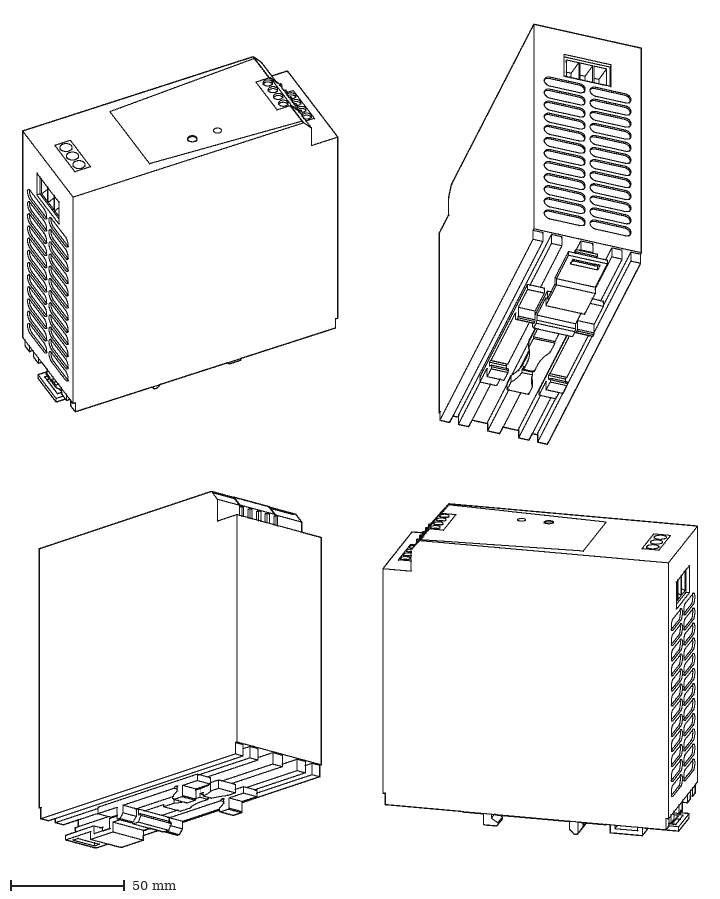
import cadquery as cq

WIDTH = 50.0
DEPTH = 130.0
TOP = 134.5
SHELL_BOTTOM = 14.9
RUNNER_BOTTOM = 9.7
SIDE = WIDTH / 2

STEP_Z = 119.8
STEP_Y = 117.1
CHAMFER_Y = 113.2
CHAMFER_Z = 129.9

RUNNER_INSET = 1.1
SIDE_RUNNER_WIDTH = 4.6
RAIL_RUNNER_X = 14.0
RAIL_RUNNER_WIDTH = 4.8
CENTRE_RUNNER_WIDTH = 5.6

RAIL_X = 13.7
RAIL_WIDTH = 7.8
RAIL_FRONT_Y = 30.4
FOOT_REAR_Y = 95.8
FOOT_BOTTOM = 6.7
POST_FRONT_Y = 43.0
POST_REAR_Y = 47.1
POST_BOTTOM = 1.1
POST_FRONT_BEVEL = 0.5
POST_REAR_BEVEL = 2.2
HOOK_NOSE_Y = 79.6
HOOK_THROAT_Y = 82.6
HOOK_THROAT_Z = 5.1
HOOK_NOSE_Z = 3.2
HOOK_REAR_Y = 86.2
HOOK_BOTTOM = 1.6
HOOK_NOSE_BEVEL = 0.7
HOOK_HEEL_BEVEL = 0.4
RELIEF_FRONT_Y = 80.5
RELIEF_REAR_Y = 82.9
RELIEF_TOP = 7.4
RELIEF_RAMP = 0.8
BAR_WIDTH = 10.0
BAR_FRONT_Y = 1.5
BAR_CHAMFER_Y = 2.5
BAR_CHAMFER_Z = 8.3
PAD_BOTTOM = 5.8
STOP_FRONT_Y = 19.4
STOP_REAR_Y = 25.7
STOP_BOTTOM = 3.9
PAD_FRONT_Y = 59.6
WAIST_Y = 78.4
NECK_WIDTH = 4.8
NECK_HALF_LENGTH = 2.7
WAIST_HALF_LENGTH = 12.1

VENT_ROWS = 12
VENT_TOP_Z = 103.0
VENT_BOTTOM_Z = 25.4
VENT_PITCH = (VENT_TOP_Z - VENT_BOTTOM_Z) / (VENT_ROWS - 1)
VENT_X = 10.6
VENT_LENGTH = 19.0
VENT_HEIGHT = 5.2
VENT_DEPTH = 1.0

LABEL_THICKNESS = 0.5
LABEL_FRONT_Y = 40.2
LABEL_FRONT_HALF = 19.6
LABEL_REAR_HALF = 23.7

CONTROL_X = 12.9
LAMP_Y = 77.0
LAMP_DIAMETER = 3.5
LAMP_DEPTH = 2.7
TRIMMER_Y = 64.5
TRIMMER_DIAMETER = 4.2
TRIMMER_DEPTH = 4.0
TRIMMER_SLOT_WIDTH = 0.3
TRIMMER_SLOT_DEPTH = 0.5
TRIMMER_SLOT_ANGLE = -35.0

INPUT_POLES = 3
INPUT_PITCH = 6.5
INPUT_TOP_WIDTH = 19.9
INPUT_TOP_FRONT_Y = 8.3
INPUT_REAR_Y = 16.0
INPUT_FACE_WIDTH = 21.9
INPUT_FACE_Y = 1.6
INPUT_FACE_BOTTOM = 108.1
INPUT_FACE_TOP = 120.8
INPUT_SCREW_Y = 12.1
INPUT_SCREW_DIAMETER = 5.4
INPUT_SCREW_DEPTH = 6.7
FUNNEL_WIDTH = 5.8
FUNNEL_BOTTOM = 109.5
FUNNEL_TOP = 119.3
FUNNEL_DEPTH = 6.7
FUNNEL_END_WIDTH = 3.2
FUNNEL_END_BOTTOM = 114.3
FUNNEL_END_TOP = 118.4

OUTPUT_POLES = 4
OUTPUT_PITCH = 5.1
OUTPUT_WIDTH = 21.0
OUTPUT_OFFSET = 1.5
OUTPUT_SCREW_DIAMETER = 4.2
OUTPUT_SCREW_DEPTH = 1.2
OUTPUT_BOTTOM = 113.0
UPPER_FRONT_Y = 106.7
UPPER_RIDGE_Y = 113.7
UPPER_FACE_Y = 117.5
UPPER_LIP_Y = 118.9
UPPER_LIP_TOP = 129.0
UPPER_SCREW_Y = 111.1
WIRE_NOTCH_WIDTH = 3.8
WIRE_NOTCH_BOTTOM = 121.0
TONGUE_REAR_Y = 120.4
LOWER_FRONT_Y = 119.3
LOWER_REAR_Y = 126.4
LOWER_SCREW_Y = 124.0

LATCH_WIDTH = 18.0
LATCH_FRONT_Y = -0.4
LATCH_SHEET = 2.2
LATCH_CUP_FRONT_Y = 16.1
LATCH_CUP_REAR_Y = 30.8
LATCH_NECK_Y = POST_FRONT_Y
LATCH_NECK_BEVEL = 1.0
LATCH_NOSE_Y = 47.5
LATCH_NOSE_BOTTOM = 0.7
LATCH_LIP_ROOT_Z = 4.0
LATCH_LIP_TOP_Y = 48.7
LATCH_LIP_TOP_Z = 4.3
LATCH_TIP_Y = 49.2
LATCH_TIP_Z = 3.4
LATCH_SLOT_WIDTH = 12.6
LATCH_SLOT_FRONT_Y = 1.6
LATCH_SLOT_LENGTH = 3.2


def box(x0, x1, y0, y1, z0, z1):
    return cq.Workplane("XY").box(x1 - x0, y1 - y0, z1 - z0, centered=False).translate((x0, y0, z0))


def side_profile(points, width, x_center=0.0):
    """Extrude a (Y, Z) outline along X, centred on x_center."""
    plane = cq.Workplane("YZ", origin=(x_center - width / 2, 0, 0))
    return plane.polyline(points).close().extrude(width)


def row(count, pitch, center=0.0):
    """Evenly pitched positions, symmetric about center."""
    return [center + (i - (count - 1) / 2) * pitch for i in range(count)]


def drill(body, points, top, diameter, depth):
    tool = cq.Workplane("XY", origin=(0, 0, top)).pushPoints(points).circle(diameter / 2).extrude(-depth)
    return body.cut(tool)


def runners():
    rear = DEPTH - RUNNER_INSET
    side_x = SIDE - SIDE_RUNNER_WIDTH / 2
    layout = [
        (-side_x, SIDE_RUNNER_WIDTH),
        (-RAIL_RUNNER_X, RAIL_RUNNER_WIDTH),
        (0, CENTRE_RUNNER_WIDTH),
        (RAIL_RUNNER_X, RAIL_RUNNER_WIDTH),
        (side_x, SIDE_RUNNER_WIDTH),
    ]
    return [
        box(x - w / 2, x + w / 2, RUNNER_INSET, rear, RUNNER_BOTTOM, SHELL_BOTTOM)
        for x, w in layout
    ]


def hooked_rail(x):
    outline = [
        (RAIL_FRONT_Y, RUNNER_BOTTOM),
        (RAIL_FRONT_Y, FOOT_BOTTOM),
        (POST_FRONT_Y, FOOT_BOTTOM),
        (POST_FRONT_Y, POST_BOTTOM + POST_FRONT_BEVEL),
        (POST_FRONT_Y + POST_FRONT_BEVEL, POST_BOTTOM),
        (POST_REAR_Y - POST_REAR_BEVEL, POST_BOTTOM),
        (POST_REAR_Y, POST_BOTTOM + POST_REAR_BEVEL),
        (POST_REAR_Y, FOOT_BOTTOM),
        (RELIEF_FRONT_Y, FOOT_BOTTOM),
        (RELIEF_FRONT_Y + RELIEF_RAMP, RELIEF_TOP),
        (HOOK_THROAT_Y, RELIEF_TOP),
        (HOOK_THROAT_Y, HOOK_THROAT_Z),
        (HOOK_NOSE_Y, HOOK_NOSE_Z),
        (HOOK_NOSE_Y, HOOK_BOTTOM + HOOK_NOSE_BEVEL),
        (HOOK_NOSE_Y + HOOK_NOSE_BEVEL, HOOK_BOTTOM),
        (HOOK_REAR_Y - HOOK_HEEL_BEVEL, HOOK_BOTTOM),
        (HOOK_REAR_Y, HOOK_BOTTOM + HOOK_HEEL_BEVEL),
        (HOOK_REAR_Y, FOOT_BOTTOM),
        (FOOT_REAR_Y, FOOT_BOTTOM),
        (FOOT_REAR_Y, RUNNER_BOTTOM),
    ]
    return side_profile(outline, RAIL_WIDTH, x)


def bar_waist():
    """Hollows on both flanks of the bar, easing by tangent arcs out of a straight neck."""
    neck = NECK_WIDTH / 2
    flank = BAR_WIDTH / 2
    quarter = (
        cq.Workplane("XY", origin=(0, 0, PAD_BOTTOM))
        .moveTo(neck, 0)
        .lineTo(neck, NECK_HALF_LENGTH)
        .tangentArcPoint((flank, WAIST_HALF_LENGTH), relative=False)
        .lineTo(flank, 0)
        .close()
        .extrude(RUNNER_BOTTOM - PAD_BOTTOM)
    )
    half = quarter.union(quarter.mirror("XZ"))
    return half.union(half.mirror("YZ")).translate((0, WAIST_Y, 0))


def centre_bar():
    outline = [
        (BAR_FRONT_Y, RUNNER_BOTTOM),
        (BAR_FRONT_Y, BAR_CHAMFER_Z),
        (BAR_FRONT_Y + BAR_CHAMFER_Y, PAD_BOTTOM),
        (STOP_FRONT_Y, PAD_BOTTOM),
        (STOP_FRONT_Y, STOP_BOTTOM),
        (STOP_REAR_Y, STOP_BOTTOM),
        (STOP_REAR_Y, FOOT_BOTTOM),
        (PAD_FRONT_Y, FOOT_BOTTOM),
        (PAD_FRONT_Y, PAD_BOTTOM),
        (RELIEF_FRONT_Y, PAD_BOTTOM),
        (RELIEF_FRONT_Y, RELIEF_TOP),
        (RELIEF_REAR_Y, RELIEF_TOP),
        (RELIEF_REAR_Y, PAD_BOTTOM),
        (FOOT_REAR_Y, PAD_BOTTOM),
        (FOOT_REAR_Y, RUNNER_BOTTOM),
    ]
    return side_profile(outline, BAR_WIDTH).cut(bar_waist())


def vents():
    points = [
        (x, VENT_TOP_Z - i * VENT_PITCH)
        for i in range(VENT_ROWS)
        for x in (-VENT_X, VENT_X)
    ]
    return cq.Workplane("XZ").pushPoints(points).slot2D(VENT_LENGTH, VENT_HEIGHT).extrude(-VENT_DEPTH)


def trimmer_hole():
    hole = cq.Workplane("XY").circle(TRIMMER_DIAMETER / 2).extrude(-TRIMMER_DEPTH)
    slot = (
        cq.Workplane("XY", origin=(0, 0, -TRIMMER_DEPTH))
        .transformed(rotate=(0, 0, TRIMMER_SLOT_ANGLE))
        .rect(TRIMMER_DIAMETER, TRIMMER_SLOT_WIDTH)
        .extrude(-TRIMMER_SLOT_DEPTH)
    )
    return hole.union(slot).translate((CONTROL_X, TRIMMER_Y, TOP))


def housing_blank():
    outline = [
        (0, SHELL_BOTTOM),
        (0, TOP),
        (CHAMFER_Y, TOP),
        (STEP_Y, CHAMFER_Z),
        (STEP_Y, STEP_Z),
        (DEPTH, STEP_Z),
        (DEPTH, SHELL_BOTTOM),
    ]
    body = side_profile(outline, WIDTH)
    for part in [*runners(), hooked_rail(-RAIL_X), hooked_rail(RAIL_X), centre_bar()]:
        body = body.union(part)
    return body.cut(vents())


def label_blank():
    outline = [
        (-LABEL_FRONT_HALF, LABEL_FRONT_Y),
        (LABEL_FRONT_HALF, LABEL_FRONT_Y),
        (LABEL_REAR_HALF, CHAMFER_Y),
        (-LABEL_REAR_HALF, CHAMFER_Y),
    ]
    return cq.Workplane("XY", origin=(0, 0, TOP)).polyline(outline).close().extrude(-LABEL_THICKNESS)


def make_lamp():
    plane = cq.Workplane("XY", origin=(CONTROL_X, LAMP_Y, TOP))
    return plane.circle(LAMP_DIAMETER / 2).extrude(-LAMP_DEPTH)


def input_blank():
    """Column flush with the top face, standing on the wider wire entry block."""
    half_top = INPUT_TOP_WIDTH / 2
    half_face = INPUT_FACE_WIDTH / 2
    column = box(-half_top, half_top, INPUT_TOP_FRONT_Y, INPUT_REAR_Y, INPUT_FACE_BOTTOM, TOP)
    entry = box(-half_face, half_face, INPUT_FACE_Y, INPUT_REAR_Y, INPUT_FACE_BOTTOM, INPUT_FACE_TOP)
    return column.union(entry)


def input_recess():
    half = INPUT_FACE_WIDTH / 2
    return box(-half, half, 0, INPUT_FACE_Y, INPUT_FACE_BOTTOM, INPUT_FACE_TOP)


def wire_funnel(x):
    mouth_height = FUNNEL_TOP - FUNNEL_BOTTOM
    end_height = FUNNEL_END_TOP - FUNNEL_END_BOTTOM
    rise = (FUNNEL_END_TOP + FUNNEL_END_BOTTOM - FUNNEL_TOP - FUNNEL_BOTTOM) / 2
    mouth_z = (FUNNEL_TOP + FUNNEL_BOTTOM) / 2
    return (
        cq.Workplane("XZ", origin=(x, INPUT_FACE_Y, mouth_z))
        .rect(FUNNEL_WIDTH, mouth_height)
        .workplane(offset=-FUNNEL_DEPTH)
        .center(0, rise)
        .rect(FUNNEL_END_WIDTH, end_height)
        .loft(ruled=True)
    )


def make_input_terminal():
    poles = row(INPUT_POLES, INPUT_PITCH)
    screws = [(x, INPUT_SCREW_Y) for x in poles]
    body = drill(input_blank(), screws, TOP, INPUT_SCREW_DIAMETER, INPUT_SCREW_DEPTH)
    for x in poles:
        body = body.cut(wire_funnel(x))
    return body


def upper_blank():
    outline = [
        (UPPER_FRONT_Y, OUTPUT_BOTTOM),
        (UPPER_FRONT_Y, TOP),
        (UPPER_RIDGE_Y, TOP),
        (UPPER_FACE_Y, CHAMFER_Z),
        (UPPER_FACE_Y, UPPER_LIP_TOP),
        (UPPER_LIP_Y, UPPER_LIP_TOP),
        (UPPER_LIP_Y, OUTPUT_BOTTOM),
    ]
    body = side_profile(outline, OUTPUT_WIDTH, OUTPUT_OFFSET)
    tongue_x0 = OUTPUT_WIDTH / 2 - OUTPUT_OFFSET
    tongue_x1 = OUTPUT_WIDTH / 2 + OUTPUT_OFFSET
    return body.union(box(tongue_x0, tongue_x1, UPPER_FACE_Y, TONGUE_REAR_Y, OUTPUT_BOTTOM, STEP_Z))


def make_upper_terminal():
    poles = row(OUTPUT_POLES, OUTPUT_PITCH, OUTPUT_OFFSET)
    screws = [(x, UPPER_SCREW_Y) for x in poles]
    body = drill(upper_blank(), screws, TOP, OUTPUT_SCREW_DIAMETER, OUTPUT_SCREW_DEPTH)
    half = WIRE_NOTCH_WIDTH / 2
    for x in poles:
        body = body.cut(box(x - half, x + half, UPPER_FACE_Y, UPPER_LIP_Y, WIRE_NOTCH_BOTTOM, UPPER_LIP_TOP))
    return body


def lower_blank():
    x0 = -OUTPUT_WIDTH / 2 - OUTPUT_OFFSET
    x1 = OUTPUT_WIDTH / 2 - OUTPUT_OFFSET
    return box(x0, x1, LOWER_FRONT_Y, LOWER_REAR_Y, OUTPUT_BOTTOM, STEP_Z)


def make_lower_terminal():
    screws = [(x, LOWER_SCREW_Y) for x in row(OUTPUT_POLES, OUTPUT_PITCH, -OUTPUT_OFFSET)]
    return drill(lower_blank(), screws, STEP_Z, OUTPUT_SCREW_DIAMETER, OUTPUT_SCREW_DEPTH)


def make_latch():
    """Bent sheet: pull tab, cup around the stop block, arm and hooked nose."""
    tab_top = PAD_BOTTOM
    tab_bottom = tab_top - LATCH_SHEET
    arm_bottom = FOOT_BOTTOM - LATCH_SHEET
    outline = [
        (LATCH_FRONT_Y, tab_bottom),
        (LATCH_FRONT_Y, tab_top),
        (LATCH_CUP_FRONT_Y + LATCH_SHEET, tab_top),
        (LATCH_CUP_FRONT_Y + LATCH_SHEET, LATCH_SHEET),
        (LATCH_CUP_REAR_Y - LATCH_SHEET, LATCH_SHEET),
        (LATCH_CUP_REAR_Y - LATCH_SHEET, FOOT_BOTTOM),
        (LATCH_NOSE_Y, FOOT_BOTTOM),
        (LATCH_NOSE_Y, LATCH_LIP_ROOT_Z),
        (LATCH_LIP_TOP_Y, LATCH_LIP_TOP_Z),
        (LATCH_TIP_Y, LATCH_TIP_Z),
        (LATCH_NOSE_Y, LATCH_NOSE_BOTTOM),
        (LATCH_NECK_Y + LATCH_NECK_BEVEL, LATCH_NOSE_BOTTOM),
        (LATCH_NECK_Y, LATCH_NOSE_BOTTOM + LATCH_NECK_BEVEL),
        (LATCH_NECK_Y, arm_bottom),
        (LATCH_CUP_REAR_Y, arm_bottom),
        (LATCH_CUP_REAR_Y, 0),
        (LATCH_CUP_FRONT_Y, 0),
        (LATCH_CUP_FRONT_Y, tab_bottom),
    ]
    half = LATCH_SLOT_WIDTH / 2
    slot_rear = LATCH_SLOT_FRONT_Y + LATCH_SLOT_LENGTH
    return side_profile(outline, LATCH_WIDTH).cut(
        box(-half, half, LATCH_SLOT_FRONT_Y, slot_rear, tab_bottom, tab_top)
    )


lamp = make_lamp()
input_terminal = make_input_terminal()
upper_terminal = make_upper_terminal()
lower_terminal = make_lower_terminal()
latch = make_latch()

label = label_blank().cut(upper_blank()).cut(lamp).cut(trimmer_hole())

housing = housing_blank().cut(label_blank()).cut(trimmer_hole())
for filled in (lamp, input_blank(), input_recess(), upper_blank(), lower_blank()):
    housing = housing.cut(filled)

result = cq.Compound.makeCompound([
    housing.val(),
    label.val(),
    lamp.val(),
    input_terminal.val(),
    upper_terminal.val(),
    lower_terminal.val(),
    latch.val(),
])